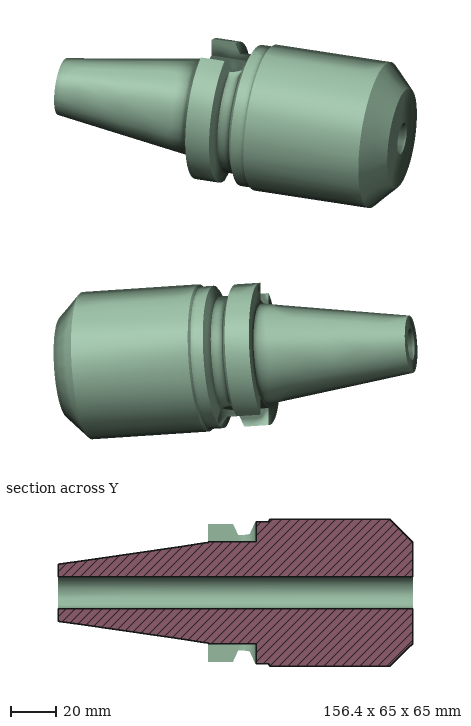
import cadquery as cq

total_length = 156.4
taper_length = 65.4
flange_start = 66.2
flange_end = 77.1
groove_start = 79.5
groove_end = 84.5
collar_start = 87.0
collar_end = 92.6
body_start = 93.5
nose_chamfer = 10.2
nose_start = total_length - nose_chamfer

taper_large_radius = 22.2
taper_ratio = 7 / 24
taper_small_radius = taper_large_radius - taper_length * taper_ratio / 2
flange_radius = 31.5
groove_radius = 26.6
body_radius = 32.5
nose_radius = body_radius - nose_chamfer
bore_radius = 7.0

slot_width = 16.1
slot_end = 87.3
slot_floor = 22.5


def holder_body():
    """Revolved taper, flange, gripper groove, collar and chamfered body."""
    outline = [
        (0, bore_radius),
        (0, taper_small_radius),
        (taper_length, taper_large_radius),
        (flange_start, taper_large_radius),
        (flange_start, flange_radius),
        (flange_end, flange_radius),
        (groove_start, groove_radius),
        (groove_end, groove_radius),
        (collar_start, flange_radius),
        (collar_end, flange_radius),
        (body_start, body_radius),
        (nose_start, body_radius),
        (total_length, nose_radius),
        (total_length, bore_radius),
    ]
    return cq.Workplane("XY").polyline(outline).close().revolve(360, (0, 0, 0), (1, 0, 0))


def drive_slot(direction):
    """Slot cutter above (direction 1) or below (direction -1) the axis."""
    half_width = slot_width / 2
    arc_center = slot_end - half_width
    return (
        cq.Workplane("XY", origin=(0, 0, direction * slot_floor))
        .moveTo(flange_start, -half_width)
        .lineTo(arc_center, -half_width)
        .threePointArc((slot_end, 0), (arc_center, half_width))
        .lineTo(flange_start, half_width)
        .close()
        .extrude(direction * (body_radius - slot_floor))
    )


result = holder_body()
for side in (1, -1):
    result = result.cut(drive_slot(side))